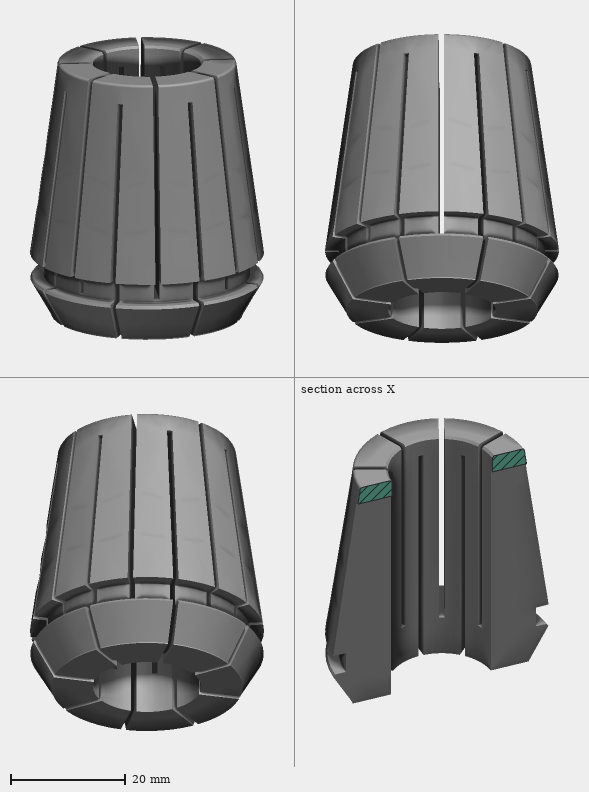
import cadquery as cq
import math

height = 46.0
outer_radius = 20.5
bore_radius = 19.0 / 2

cone_bottom = 11.1
cone_angle = 8.0
top_radius = outer_radius - (height - cone_bottom) * math.tan(math.radians(cone_angle))

neck_radius = 18.1
groove_fillet = 0.2

collar_top = 7.1
collar_radius = 20.45
collar_edge_height = 6.6
collar_bevel = 0.3
collar_angle = 30.0
base_land_height = 0.2
base_radius = collar_radius - (collar_edge_height - base_land_height) * math.tan(math.radians(collar_angle))

top_fillet = 0.5
bore_chamfer = 0.4

slot_count = 8
slot_pitch = 360.0 / slot_count
slot_width = 0.95
lower_slot_top = 42.55
upper_slot_bottom = 7.55


def make_body():
    """Revolve the half section around the Z axis and round its edges."""
    section = [
        (bore_radius, 0),
        (base_radius, 0),
        (base_radius, base_land_height),
        (collar_radius, collar_edge_height),
        (collar_radius - collar_bevel, collar_top),
        (neck_radius, collar_top),
        (neck_radius, cone_bottom),
        (outer_radius, cone_bottom),
        (top_radius, height),
        (bore_radius, height),
    ]
    body = cq.Workplane("XZ").polyline(section).close().revolve(360, (0, 0), (0, 1))
    smallest_circle = cq.selectors.RadiusNthSelector(0)
    largest_circle = cq.selectors.RadiusNthSelector(-1)
    body = body.faces(">Z").edges(largest_circle).fillet(top_fillet)
    body = body.faces(">Z").edges(smallest_circle).chamfer(bore_chamfer)

    groove_zone = cq.selectors.BoxSelector(
        (-outer_radius, -outer_radius, collar_top - groove_fillet),
        (outer_radius, outer_radius, cone_bottom + groove_fillet),
    )
    neck_ends = body.edges(groove_zone).edges("%CIRCLE").edges(smallest_circle)
    return neck_ends.fillet(groove_fillet)


def make_slots(bottom, top, first_angle):
    """Blades reaching from the axis past the outside, spaced evenly around it."""
    blade = cq.Workplane("XY").box(
        2 * outer_radius, slot_width, top - bottom, centered=(False, True, False)
    )
    blade = blade.translate((0, 0, bottom))
    slots = cq.Workplane("XY")
    for index in range(slot_count):
        angle = first_angle + index * slot_pitch
        slots = slots.add(blade.rotate((0, 0, 0), (0, 0, 1), angle))
    return slots.combine()


lower_slots = make_slots(0, lower_slot_top, 0)
upper_slots = make_slots(upper_slot_bottom, height, slot_pitch / 2)

result = make_body().cut(lower_slots).cut(upper_slots)